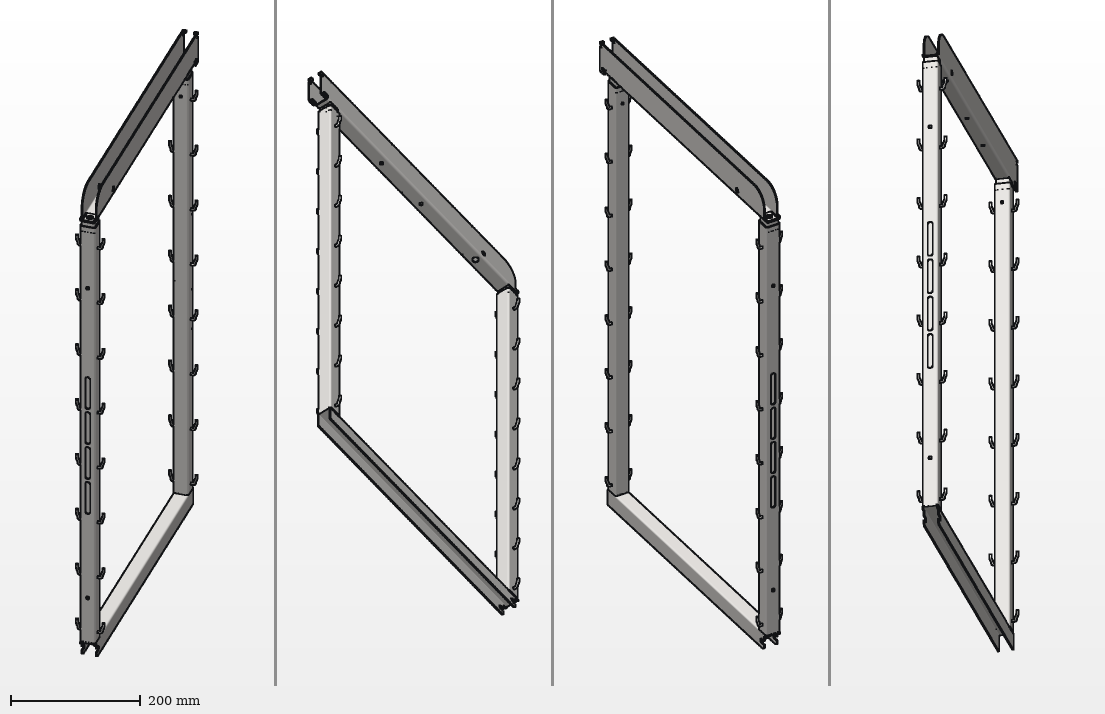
import cadquery as cq

WIDTH = 25.0
SHEET = 2.0
BEND_RADIUS = 3.0
TOTAL_HEIGHT = 845.0

POST_DEPTH = 25.0
POST_PITCH = 450.0
BOTTOM_RAIL_HEIGHT = 29.5
STUD_HEIGHT = 8.5
FRONT_SETBACK = 7.5
BOTTOM_SLOT_WIDTH = 7.6
TONGUE_HEIGHT = 5.0
TONGUE_RADIUS = 2.0
BOTTOM_SLOT_Z = 12.4
BOTTOM_SLOT_END = 18.5
BOTTOM_FRONT_RADIUS = 5.0
BOTTOM_REAR_RADIUS = 1.5

TOP_RAIL_HEIGHT = 50.0
TOP_BEND_RADIUS = 4.0
TOP_RAIL_REAR = 498.31
TOP_NOSE_RADIUS = 30.0
WEB_REAR = 481.0

HOOK_COUNT = 8
HOOK_PITCH = 100.0
HOOK_FIRST_Z = 44.0
HOOK_DIAMETER = 4.0
HOOK_SPAN = 46.73
HOOK_BEND_RADIUS = 3.0
HOOK_TOP = 17.0
HOOK_STEP = 2.5
HOOK_OFFSET_HEIGHT = 9.0

STUD_WIDTH = WIDTH - 2 * SHEET
STUD_CORNER_RADIUS = BEND_RADIUS - SHEET
STUD_INSERTION = 10.0
STUD_RECESS_DIAMETER = 10.0
STUD_HOLE_DIAMETER = 5.2
STUD_RECESS_DEPTH = 3.0

POST_SLOT_COUNT = 4
POST_SLOT_PITCH = 63.7
POST_SLOT_LENGTH = 58.0
POST_SLOT_WIDTH = 8.0
POST_SLOT_CENTER_Z = 388.3
POST_HOLE_DIAMETER = 5.1
POST_HOLE_HEIGHTS = (110.5, 675.0)

REAR_HOLE_DIAMETER = 4.0
REAR_HOLE_Z = 754.0

SIDE_HOLE_DIAMETER = 8.0
SIDE_HOLE_Y = 88.0
SIDE_HOLE_ABOVE_WEB = 11.0
WEB_HOLE_DIAMETER = 10.0
WEB_HOLE_Y = 92.5
WEB_SMALL_HOLE_DIAMETER = 5.4
WEB_SMALL_HOLES_Y = (230.0, 330.0)

LATCH_GAP = 5.4
LATCH_WALL = 6.3
LATCH_FINGER_LENGTH = 13.0
LATCH_DROP = 3.7
LATCH_RISE = 1.6
LATCH_CORNER_RADIUS = 3.0
EAR_LENGTH = 4.6
EAR_HEIGHT = 2.8
EAR_INNER_X = 6.5

HALF_WIDTH = WIDTH / 2
POST_TOP = TOTAL_HEIGHT - TOP_RAIL_HEIGHT - STUD_HEIGHT
WEB_BOTTOM = TOTAL_HEIGHT - TOP_RAIL_HEIGHT
WEB_TOP = WEB_BOTTOM + SHEET
POST_CENTERS = (POST_DEPTH / 2, POST_DEPTH / 2 + POST_PITCH)
FRAME_REAR = POST_CENTERS[1] + POST_DEPTH / 2


def box(x0, x1, y0, y1, z0, z1):
    return cq.Workplane("XY").box(x1 - x0, y1 - y0, z1 - z0, centered=False).translate((x0, y0, z0))


def channel(y0, y1, z0, z1, bend_radius, web_at_top):
    """U-channel along Y with a bent web at its top or bottom."""
    web_edges = ">Z and |Y" if web_at_top else "<Z and |Y"
    inner_z0 = z0 if web_at_top else z0 + SHEET
    inner_z1 = z1 - SHEET if web_at_top else z1
    inner_x = HALF_WIDTH - SHEET
    outer = box(-HALF_WIDTH, HALF_WIDTH, y0, y1, z0, z1)
    inner = box(-inner_x, inner_x, y0, y1, inner_z0, inner_z1)
    outer = outer.edges(web_edges).fillet(bend_radius)
    inner = inner.edges(web_edges).fillet(bend_radius - SHEET)
    return outer.cut(inner)


def post(center_y):
    """Rectangular tube with rounded corners."""
    height = POST_TOP - BOTTOM_RAIL_HEIGHT
    base = cq.Workplane("XY", origin=(0, center_y, BOTTOM_RAIL_HEIGHT))
    outer = base.rect(WIDTH, POST_DEPTH).extrude(height)
    inner = base.rect(WIDTH - 2 * SHEET, POST_DEPTH - 2 * SHEET).extrude(height)
    outer = outer.edges("|Z").fillet(BEND_RADIUS)
    inner = inner.edges("|Z").fillet(BEND_RADIUS - SHEET)
    return outer.cut(inner)


def stud_prism(center_y, z0, z1):
    """Square prism with rounded corners, as wide as the inside of a post."""
    base = cq.Workplane("XY", origin=(0, center_y, z0))
    return base.rect(STUD_WIDTH, STUD_WIDTH).extrude(z1 - z0).edges("|Z").fillet(STUD_CORNER_RADIUS)


def stud(center_y):
    """Square plug set in the post mouth and passing through the top rail's web."""
    plug = stud_prism(center_y, POST_TOP - STUD_INSERTION, WEB_TOP)
    return plug.faces(">Z").workplane(origin=(0, center_y, 0)).cboreHole(
        STUD_HOLE_DIAMETER, STUD_RECESS_DIAMETER, STUD_RECESS_DEPTH)


def hook(hook_y, root_z, side):
    """Round wire leaving the post wall, turning up and stepping outwards."""
    start_x = HALF_WIDTH - SHEET
    tip_x = HOOK_SPAN / 2 - HOOK_DIAMETER / 2
    leg_x = tip_x - HOOK_STEP
    middle = ((leg_x + tip_x) / 2, HOOK_BEND_RADIUS + HOOK_OFFSET_HEIGHT / 2)
    offset_end = (tip_x, HOOK_BEND_RADIUS + HOOK_OFFSET_HEIGHT)
    offset_radius = (HOOK_STEP ** 2 + HOOK_OFFSET_HEIGHT ** 2) / (4 * HOOK_STEP)
    path = (
        cq.Workplane("XZ", origin=(0, hook_y, root_z))
        .moveTo(start_x, 0)
        .lineTo(leg_x - HOOK_BEND_RADIUS, 0)
        .radiusArc((leg_x, HOOK_BEND_RADIUS), -HOOK_BEND_RADIUS)
        .radiusArc(middle, offset_radius)
        .radiusArc(offset_end, -offset_radius)
        .lineTo(tip_x, HOOK_TOP)
    )
    wire = cq.Workplane("YZ", origin=(start_x, hook_y, root_z)).circle(HOOK_DIAMETER / 2).sweep(path)
    return wire if side > 0 else wire.mirror("YZ")


def bottom_rail():
    rail = channel(0, FRAME_REAR, 0, BOTTOM_RAIL_HEIGHT, BEND_RADIUS, web_at_top=True)
    sides = box(-WIDTH, WIDTH, FRONT_SETBACK, FRAME_REAR, 0, BOTTOM_RAIL_HEIGHT)
    sides = sides.edges("|X and <Z and <Y").fillet(BOTTOM_FRONT_RADIUS)
    sides = sides.edges("|X and <Z and >Y").fillet(BOTTOM_REAR_RADIUS)
    tongue = box(-WIDTH, WIDTH, 0, FRONT_SETBACK, BOTTOM_RAIL_HEIGHT - TONGUE_HEIGHT, BOTTOM_RAIL_HEIGHT)
    tongue = tongue.edges("|X and <Z and <Y").fillet(TONGUE_RADIUS)
    slot_radius = BOTTOM_SLOT_WIDTH / 2
    end_y = BOTTOM_SLOT_END - slot_radius
    slot = box(-WIDTH, WIDTH, 0, end_y, BOTTOM_SLOT_Z - slot_radius, BOTTOM_SLOT_Z + slot_radius)
    round_end = cq.Workplane("YZ").center(end_y, BOTTOM_SLOT_Z).circle(slot_radius).extrude(WIDTH, both=True)
    slot = slot.union(round_end)
    return rail.intersect(sides.union(tongue)).cut(slot)


def front_post_openings():
    """Slots and holes through the front wall of the front post only."""
    wall = cq.Workplane("XZ")
    first_z = POST_SLOT_CENTER_Z - POST_SLOT_PITCH * (POST_SLOT_COUNT - 1) / 2
    slot_points = [(0, first_z + i * POST_SLOT_PITCH) for i in range(POST_SLOT_COUNT)]
    hole_points = [(0, z) for z in POST_HOLE_HEIGHTS]
    slots = wall.pushPoints(slot_points).slot2D(POST_SLOT_LENGTH, POST_SLOT_WIDTH, 90).extrude(-SHEET)
    holes = wall.pushPoints(hole_points).circle(POST_HOLE_DIAMETER / 2).extrude(-SHEET)
    return slots.union(holes)


def rear_post_opening():
    """Small hole through the front wall of the rear post."""
    wall_y = POST_CENTERS[1] - POST_DEPTH / 2
    wall = cq.Workplane("XZ", origin=(0, wall_y, REAR_HOLE_Z))
    return wall.circle(REAR_HOLE_DIAMETER / 2).extrude(-SHEET)


def frame_body():
    members = []
    for center_y in POST_CENTERS:
        members += [post(center_y).val(), stud(center_y).val()]
        for index in range(HOOK_COUNT):
            root_z = HOOK_FIRST_Z + index * HOOK_PITCH
            members += [hook(center_y, root_z, side).val() for side in (-1, 1)]
    welded = bottom_rail().val().fuse(*members)
    return cq.Workplane(welded).cut(front_post_openings()).cut(rear_post_opening())


def top_side_outline():
    """Side plate shape in YZ: round nose, low tongue in front, plain block over the latch."""
    latch_bottom = WEB_BOTTOM - LATCH_DROP
    plate = box(-WIDTH, WIDTH, FRONT_SETBACK, TOP_RAIL_REAR, latch_bottom, TOTAL_HEIGHT)
    plate = plate.edges("|X and >Z and <Y").fillet(TOP_NOSE_RADIUS)
    plate = plate.edges("|X and <Z and >Y").fillet(LATCH_CORNER_RADIUS)
    tongue = box(-WIDTH, WIDTH, 0, FRONT_SETBACK, WEB_BOTTOM, WEB_BOTTOM + TONGUE_HEIGHT)
    tongue = tongue.edges("|X and >Z and <Y").fillet(TONGUE_RADIUS)
    return plate.union(tongue)


def latch_slots():
    """Slot below the ears, and hooked slot behind the web that leaves a finger."""
    ear_bottom = TOTAL_HEIGHT - EAR_HEIGHT
    upper = box(-WIDTH, WIDTH, TOP_RAIL_REAR - EAR_LENGTH, TOP_RAIL_REAR, ear_bottom - LATCH_GAP, ear_bottom)
    slot_bottom = WEB_BOTTOM + LATCH_RISE
    slot_rear = TOP_RAIL_REAR - LATCH_WALL
    lower = box(-WIDTH, WIDTH, WEB_REAR, slot_rear, slot_bottom, slot_bottom + LATCH_GAP)
    lower = lower.edges("|X and >Z and >Y").fillet(LATCH_CORNER_RADIUS)
    finger_tip = TOP_RAIL_REAR - LATCH_FINGER_LENGTH
    mouth = box(-WIDTH, WIDTH, WEB_REAR, finger_tip, WEB_BOTTOM - LATCH_DROP, slot_bottom)
    return upper.union(lower).union(mouth)


def web_openings():
    """Round holes through the web and square seats for the studs."""
    web = cq.Workplane("XY", origin=(0, 0, WEB_BOTTOM))
    cutter = web.center(0, WEB_HOLE_Y).circle(WEB_HOLE_DIAMETER / 2).extrude(SHEET)
    for hole_y in WEB_SMALL_HOLES_Y:
        cutter = cutter.union(web.center(0, hole_y).circle(WEB_SMALL_HOLE_DIAMETER / 2).extrude(SHEET))
    for center_y in POST_CENTERS:
        cutter = cutter.union(stud_prism(center_y, WEB_BOTTOM, WEB_TOP))
    return cutter


def top_rail_body():
    rail = channel(0, WEB_REAR, WEB_BOTTOM, TOTAL_HEIGHT, TOP_BEND_RADIUS, web_at_top=False)
    for side in (-1, 1):
        outer_x = side * HALF_WIDTH
        plate_x = sorted((outer_x, side * (HALF_WIDTH - SHEET)))
        ear_x = sorted((outer_x, side * EAR_INNER_X))
        rail = rail.union(box(*plate_x, WEB_REAR, TOP_RAIL_REAR, WEB_BOTTOM - LATCH_DROP, TOTAL_HEIGHT))
        ear_front = TOP_RAIL_REAR - EAR_LENGTH
        rail = rail.union(box(*ear_x, ear_front, TOP_RAIL_REAR, TOTAL_HEIGHT - EAR_HEIGHT, TOTAL_HEIGHT))
    side_hole_z = WEB_BOTTOM + SIDE_HOLE_ABOVE_WEB
    side_holes = (
        cq.Workplane("YZ")
        .center(SIDE_HOLE_Y, side_hole_z)
        .circle(SIDE_HOLE_DIAMETER / 2)
        .extrude(WIDTH, both=True)
    )
    rail = rail.intersect(top_side_outline())
    return rail.cut(latch_slots()).cut(web_openings()).cut(side_holes)


frame = frame_body()
top_rail = top_rail_body()
result = cq.Compound.makeCompound([frame.solids().val(), top_rail.solids().val()])